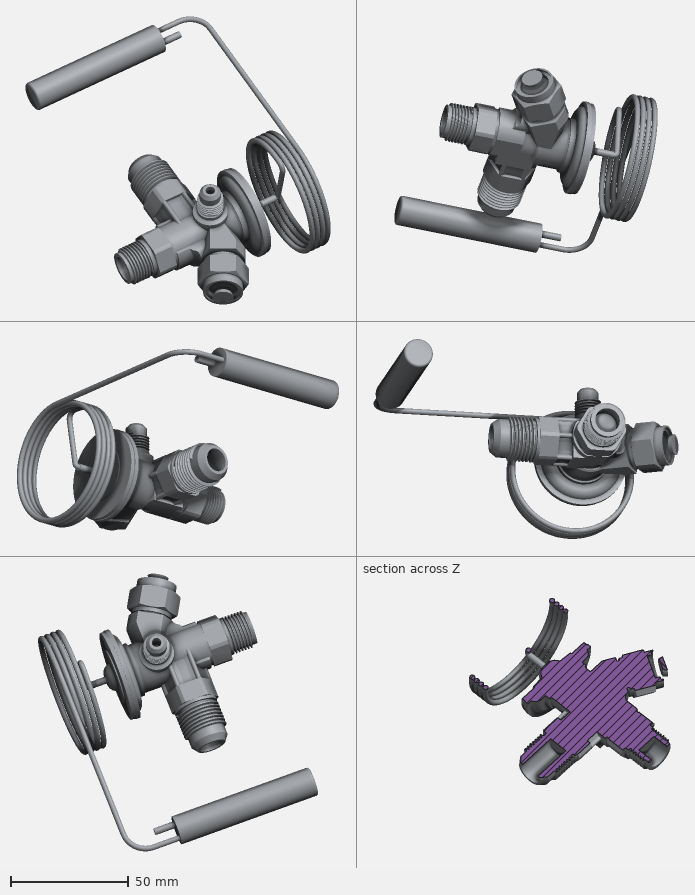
import cadquery as cq
import math


tube_d = 2.4
stem_d = 3.0
coil_mean_r = 25.9
coil_pitch = 2.57
coil_turns = 4
coil_back_y = 43.6
coil_front_y = coil_back_y - coil_turns * coil_pitch
lead_corner_x = 4.8
lead_bend_r = 3.4
stem_bend_r = 1.3
stem_start_y = 21.3
stem_end_y = 31.8

bulb_d = 12.7
bulb_x = -81.5
bulb_z = 26.0
bulb_back_y = 21.8
bulb_length = 62.4
bulb_fillet = 1.0
bulb_tube_x = -85.0
bulb_pin_x = -78.8
bulb_pin_length = 9.0
bulb_bend_r = 10

dome_top_r = 3.1
dome_base_r = 6.3
dome_bulge = (5, 21.9)
dome_top_y = 23.0
dome_base_y = 19.8
cover_r = 12.0
cover_edge_y = 19.3
upper_plate_r = 19.7
upper_plate_y = 18.7
lower_plate_r = 20
lower_plate_y = 16.8
plate_bottom_y = 14.9
pan_top_r = 17.8
pan_bottom_r = 14.2
pan_bulge = (16.7, 13.2)
collar_r = 11.9
collar_top_y = 12.3
collar_bottom_y = 9.8
collar_taper_r = 11.1

body_d = 21.7
body_r = body_d / 2
body_top_y = 9.0
body_end_y = -3.4
body_chamfer = 0.8
neck_r = 9.5
shell_r = 10.5
shell_top_z = 5.8
shell_start_y = -9.4
shell_end_y = -21.2
block_width = 9.6
block_back_y = -2.1
block_front_y = -17.8

hex_flats = 19.0
hex_corner_d = 21.0

outlet_hex_start = 22.4
outlet_hex_end = 30.7
outlet_thread_start = 32.3
outlet_thread_end = 42.2
outlet_end = 43.2
outlet_thread_d = 16.5
outlet_root_d = 14.3
outlet_pitch = 1.4
outlet_bore_d = 10.6
outlet_bore_depth = 7.5

inlet_y = -8.5
inlet_hex_start = 16.0
inlet_hex_end = 24.0
inlet_thread_start = 25.3
inlet_thread_end = 37.7
inlet_nose_end = 41.1
inlet_end = 43.7
inlet_thread_d = 19.0
inlet_nose_d = 16.5
inlet_tip_d = 12.7
inlet_pitch = 1.59
inlet_bore_d = 10.1
inlet_bore_depth = 17.5
link_flats = 16.0
rib_r = 1.0
rib_centre_r = 9.6
rib_neck_r = 9.0
rib_foot_r = 7.9
rib_foot_half = 2.4

port_flange_d = 14.9
port_flange_edge_z = 11.8
port_flange_z = 12.5
port_thread_d = 11.1
port_nose_d = 9.0
port_tip_d = 6.3
port_thread_start = 14.3
port_thread_end = 22.0
port_nose_z = 25
port_end_z = 26.5
port_pitch = 1.27
port_bore_d = 4.0
port_bore_depth = 10

branch_y = 6.3
branch_angle = 30
branch_bar_start = 3.8
branch_bar_end = 21.3
branch_corner_r = 8.8
arm_y = -2.6
arm_length = 37.6
groove_d = 15.4
groove_end = 22.4
ring_d = 17.5
nut_start = 24.0
nut_end = 33.8
nut_bevel_axial = 0.8
nut_bevel_radial = 1.9
tail_d = 17.0
tail_end = 37.6
tail_bore_d = 15.4
tail_bore_depth = 1.0
tail_inner_d = 12.7
tail_inner_depth = 3.1
gusset_half_z = 5.8
gusset_root_x = 7.5
gusset_end_x = 13.8
gusset_front_y = -16.3
gusset_back_y = -7.5
gusset_arc_start = (10.5, -14.3)
gusset_arc_middle = (11.5, -13.0)
gusset_arc_end = (gusset_end_x, -12.5)
gusset_corner_r = 4.1

plug_small_d = 7.9
plug_large_d = 9.0
plug_start = 38.7
plug_end = 40.6

thread_bite = 0.3
thread_foot_ratio = 0.4
thread_crest_ratio = 0.12


def corner_diameter(flats):
    """Distance across the corners of a regular hexagon from its width across flats."""
    return flats / math.cos(math.radians(30))


hex_full_d = corner_diameter(hex_flats)
outlet_frame = cq.Plane(origin=(0, 0, 0), xDir=(1, 0, 0), normal=(0, -1, 0))
inlet_frame = cq.Plane(origin=(0, inlet_y, 0), xDir=(0, 1, 0), normal=(-1, 0, 0))
element_frame = cq.Plane(origin=(0, 0, 0), xDir=(1, 0, 0), normal=(0, 1, 0))
tilt = math.radians(branch_angle)
branch_frame = cq.Plane(
    origin=(0, branch_y, 0),
    xDir=(math.sin(tilt), math.cos(tilt), 0),
    normal=(math.cos(tilt), -math.sin(tilt), 0),
)


def placed(shape, frame):
    """Move a shape built along Z into the given frame."""
    return cq.Workplane(shape.val().located(cq.Location(frame)))


def rod(diameter, start, end):
    """Round bar along Z."""
    return cq.Workplane().workplane(offset=start).circle(diameter / 2).extrude(end - start)


def turned(outline):
    """Solid of revolution about Z from (radius, height) points that start and end on the axis."""
    return cq.Workplane("XZ").polyline(outline).close().revolve(360, (0, 0), (0, 1))


def cone(start_d, end_d, start, end):
    """Cone frustum along Z."""
    return turned([(0, start), (start_d / 2, start), (end_d / 2, end), (0, end)])


def hexagon(start, end):
    """Full hexagonal bar along Z."""
    return cq.Workplane().workplane(offset=start).polygon(6, hex_full_d).extrude(end - start)


def clipped_hexagon(start, end):
    """Hexagonal bar along Z with its corners turned down."""
    return hexagon(start, end).intersect(rod(hex_corner_d, start, end))


def thread(outer_d, root_d, pitch, start, end):
    """Helical thread ridge along Z that bites slightly into its root cylinder."""
    path_r = root_d / 2 - thread_bite
    ridge_height = outer_d / 2 - path_r
    foot = thread_foot_ratio * pitch
    crest = thread_crest_ratio * pitch
    helix = cq.Wire.makeHelix(pitch, end - start - 2 * foot, path_r, cq.Vector(0, 0, start + foot))
    ridge = (
        cq.Workplane("XZ", origin=(path_r, 0, start + foot))
        .polyline([(0, -foot), (ridge_height, -crest), (ridge_height, crest), (0, foot)])
        .close()
    )
    return ridge.sweep(cq.Workplane(helix), isFrenet=True)


def bent_path(points, bend_radii):
    """Edges of straight runs between points, each inner point rounded by its bend radius."""
    corners = [cq.Vector(*p) for p in points]
    edges = []
    run_start = corners[0]
    for before, corner, after, radius in zip(corners, corners[1:], corners[2:], bend_radii):
        back = (before - corner).normalized()
        ahead = (after - corner).normalized()
        half_angle = back.getAngle(ahead) / 2
        reach = radius / math.tan(half_angle)
        middle = corner + (back + ahead).normalized() * (radius / math.sin(half_angle) - radius)
        arc_start = corner + back * reach
        arc_end = corner + ahead * reach
        edges.append(cq.Edge.makeLine(run_start, arc_start))
        edges.append(cq.Edge.makeThreePointArc(arc_start, middle, arc_end))
        run_start = arc_end
    edges.append(cq.Edge.makeLine(run_start, corners[-1]))
    return edges


def make_power_element():
    """Diaphragm housing, collar and main body turned about the valve axis."""
    profile = (
        cq.Workplane()
        .moveTo(0, dome_top_y)
        .lineTo(dome_top_r, dome_top_y)
        .threePointArc(dome_bulge, (dome_base_r, dome_base_y))
        .lineTo(cover_r, cover_edge_y)
        .lineTo(cover_r, upper_plate_y)
        .lineTo(upper_plate_r, upper_plate_y)
        .lineTo(upper_plate_r, lower_plate_y)
        .lineTo(lower_plate_r, lower_plate_y)
        .lineTo(lower_plate_r, plate_bottom_y)
        .lineTo(pan_top_r, plate_bottom_y)
        .threePointArc(pan_bulge, (pan_bottom_r, collar_top_y))
        .lineTo(collar_r, collar_top_y)
        .lineTo(collar_r, collar_bottom_y)
        .lineTo(collar_taper_r, collar_bottom_y)
        .lineTo(body_r, body_top_y)
        .lineTo(body_r, body_end_y + body_chamfer)
        .lineTo(body_r - body_chamfer, body_end_y)
        .lineTo(0, body_end_y)
        .close()
    )
    return profile.revolve(360, (0, 0), (0, 1))


def make_lower_body():
    """Outlet neck with the wider shell and the square block under it."""
    neck = placed(rod(2 * neck_r, 0, outlet_hex_start), outlet_frame)
    shell = placed(rod(2 * shell_r, -shell_start_y, -shell_end_y), outlet_frame)
    shell_limits = (
        cq.Workplane()
        .box(2 * shell_r, -shell_end_y, neck_r + shell_top_z, centered=(True, False, False))
        .translate((0, shell_end_y, -neck_r))
    )
    shell = shell.intersect(shell_limits)
    block = (
        cq.Workplane()
        .box(block_width, block_back_y - block_front_y, neck_r, centered=False)
        .translate((-block_width, block_front_y, -neck_r))
    )
    return neck.union(shell).union(block)


def make_outlet():
    """Hexagon and threaded spigot along -Y."""
    spigot = (
        clipped_hexagon(outlet_hex_start, outlet_hex_end)
        .union(rod(outlet_thread_d, outlet_hex_end, outlet_thread_start))
        .union(rod(outlet_root_d, outlet_thread_start, outlet_end))
        .union(thread(outlet_thread_d, outlet_root_d, outlet_pitch, outlet_thread_start, outlet_thread_end))
        .cut(rod(outlet_bore_d, outlet_end - outlet_bore_depth, outlet_end))
    )
    return placed(spigot, outlet_frame)


def make_rib():
    """Flared rib on a corner of the link, running into the neck."""
    return (
        cq.Workplane()
        .moveTo(0, -rib_foot_half)
        .lineTo(rib_foot_r, -rib_foot_half)
        .lineTo(rib_neck_r, -rib_r)
        .lineTo(rib_centre_r, -rib_r)
        .threePointArc((rib_centre_r + rib_r, 0), (rib_centre_r, rib_r))
        .lineTo(rib_neck_r, rib_r)
        .lineTo(rib_foot_r, rib_foot_half)
        .lineTo(0, rib_foot_half)
        .close()
        .extrude(inlet_hex_start)
    )


def make_inlet():
    """Ribbed link, hexagon and flare connector along -X."""
    link = cq.Workplane().polygon(6, corner_diameter(link_flats)).extrude(inlet_hex_start)
    for corner in range(6):
        link = link.union(make_rib().rotate((0, 0, 0), (0, 0, 1), 60 * corner))
    connector = (
        link.union(clipped_hexagon(inlet_hex_start, inlet_hex_end))
        .union(rod(inlet_thread_d, inlet_hex_end, inlet_thread_start))
        .union(rod(inlet_nose_d, inlet_thread_start, inlet_nose_end))
        .union(cone(inlet_nose_d, inlet_tip_d, inlet_nose_end, inlet_end))
        .union(thread(inlet_thread_d, inlet_nose_d, inlet_pitch, inlet_thread_start, inlet_thread_end))
        .cut(rod(inlet_bore_d, inlet_end - inlet_bore_depth, inlet_end))
    )
    return placed(connector, inlet_frame)


def make_port():
    """Service port along +Z."""
    return (
        rod(port_flange_d, 0, port_flange_edge_z)
        .union(cone(port_flange_d, port_thread_d, port_flange_edge_z, port_flange_z))
        .union(rod(port_thread_d, port_flange_z, port_thread_start))
        .union(rod(port_nose_d, port_thread_start, port_nose_z))
        .union(cone(port_nose_d, port_tip_d, port_nose_z, port_end_z))
        .union(thread(port_thread_d, port_nose_d, port_pitch, port_thread_start, port_thread_end))
        .cut(rod(port_bore_d, port_end_z - port_bore_depth, port_end_z))
    )


def make_branch_bar():
    """Rounded hexagonal bar that leaves the body along +X and bends, at a mitre, along the branch axis."""
    tilted = hexagon(branch_bar_start, branch_bar_end).edges("<X or >X").fillet(branch_corner_r)
    above = cq.Workplane().box(arm_length, hex_flats, branch_bar_end, centered=(False, True, False))
    tilted_and_above = placed(tilted.union(above), branch_frame)
    tilted = placed(tilted, branch_frame)

    straight = (
        cq.Workplane("YZ", origin=(0, arm_y, 0))
        .polygon(6, hex_full_d)
        .extrude(arm_length)
        .edges("<Y or >Y")
        .fillet(branch_corner_r)
    )
    below = (
        cq.Workplane()
        .box(arm_length, arm_length, hex_flats, centered=(False, False, True))
        .translate((0, arm_y - arm_length, 0))
    )
    before_bend = straight.union(below).intersect(tilted_and_above)

    mitre_frame = cq.Plane(
        origin=((branch_y - arm_y) / math.tan(tilt), arm_y, 0),
        xDir=(0, 0, 1),
        normal=(math.cos(tilt / 2), -math.sin(tilt / 2), 0),
    )
    beyond_mitre = cq.Workplane(mitre_frame).rect(2 * arm_length, 2 * arm_length).extrude(arm_length)
    return before_bend.cut(beyond_mitre).union(tilted.intersect(beyond_mitre))


def make_gusset():
    """Rounded web between the shell and the underside of the branch bar."""
    web = (
        cq.Workplane()
        .workplane(offset=-gusset_half_z)
        .moveTo(gusset_root_x, gusset_front_y)
        .lineTo(*gusset_arc_start)
        .threePointArc(gusset_arc_middle, gusset_arc_end)
        .lineTo(gusset_end_x, gusset_back_y)
        .lineTo(gusset_root_x, gusset_back_y)
        .close()
        .extrude(2 * gusset_half_z)
    )
    rounded_bar = (
        cq.Workplane()
        .box(2 * gusset_end_x, -2 * gusset_front_y, 2 * gusset_half_z)
        .edges("|Y and >X")
        .fillet(gusset_corner_r)
    )
    return web.intersect(rounded_bar)


def make_union_nut():
    """Grooved ring, chamfered hexagon nut and bored tail along the branch axis."""
    full_r = hex_full_d / 2
    face_r = full_r - nut_bevel_radial
    envelope = turned(
        [
            (0, nut_start),
            (face_r, nut_start),
            (full_r, nut_start + nut_bevel_axial),
            (full_r, nut_end - nut_bevel_axial),
            (face_r, nut_end),
            (0, nut_end),
        ]
    )
    nut = (
        rod(groove_d, branch_bar_end, groove_end)
        .union(rod(ring_d, groove_end, nut_start))
        .union(hexagon(nut_start, nut_end).intersect(envelope))
        .union(rod(tail_d, nut_end, tail_end))
        .cut(rod(tail_bore_d, tail_end - tail_bore_depth, tail_end))
        .cut(rod(tail_inner_d, tail_end - tail_inner_depth, tail_end))
    )
    return placed(nut, branch_frame)


def make_bulb():
    """Sensing bulb with its filling pin."""
    frame = cq.Plane(origin=(bulb_x, bulb_back_y, bulb_z), xDir=(1, 0, 0), normal=(0, -1, 0))
    bulb = rod(bulb_d, 0, bulb_length).faces(">Z").edges().fillet(bulb_fillet)
    pin = rod(stem_d, -bulb_pin_length, 0).translate((bulb_pin_x - bulb_x, 0, 0))
    return placed(bulb.union(pin), frame)


def make_capillary():
    """Tube from the bulb through the coil about the valve axis to the stem of the diaphragm housing."""
    coil_back = (0, coil_back_y, coil_mean_r)
    coil_front = (0, coil_front_y, coil_mean_r)
    bulb_run = bent_path(
        [
            (bulb_tube_x, bulb_back_y, coil_mean_r),
            (bulb_tube_x, coil_back_y, coil_mean_r),
            coil_back,
        ],
        [bulb_bend_r],
    )
    coil_frame = cq.Plane(origin=(0, coil_back_y, 0), xDir=(0, 0, 1), normal=(0, -1, 0))
    coil_height = coil_turns * coil_pitch
    coil = cq.Wire.makeHelix(coil_pitch, coil_height, coil_mean_r, lefthand=True)
    coil = coil.located(cq.Location(coil_frame)).Edges()
    lead = bent_path(
        [
            coil_front,
            (lead_corner_x, coil_front_y, coil_mean_r),
            (0, coil_front_y, 0),
            (0, stem_end_y, 0),
        ],
        [lead_bend_r, stem_bend_r],
    )
    path = cq.Wire.assembleEdges(bulb_run + coil + lead)
    bulb_end = cq.Workplane("XZ", origin=(bulb_tube_x, bulb_back_y, coil_mean_r))
    tube = bulb_end.circle(tube_d / 2).sweep(cq.Workplane(path), transition="transformed")
    stem = placed(rod(stem_d, stem_start_y, stem_end_y), element_frame)
    return tube.union(stem)


def make_valve():
    """Valve body with all its connectors, the capillary and the bulb as one solid."""
    valve = make_power_element()
    for feature in (
        make_lower_body(),
        make_port(),
        make_branch_bar(),
        make_gusset(),
        make_union_nut(),
        make_inlet(),
        make_outlet(),
        make_capillary(),
        make_bulb(),
    ):
        valve = valve.union(feature)
    return valve


def make_plug():
    """Tapered plug beyond the open end of the union nut."""
    return placed(cone(plug_small_d, plug_large_d, plug_start, plug_end), branch_frame)


valve = make_valve()
plug = make_plug()

result = cq.Compound.makeCompound([valve.val(), plug.val()])